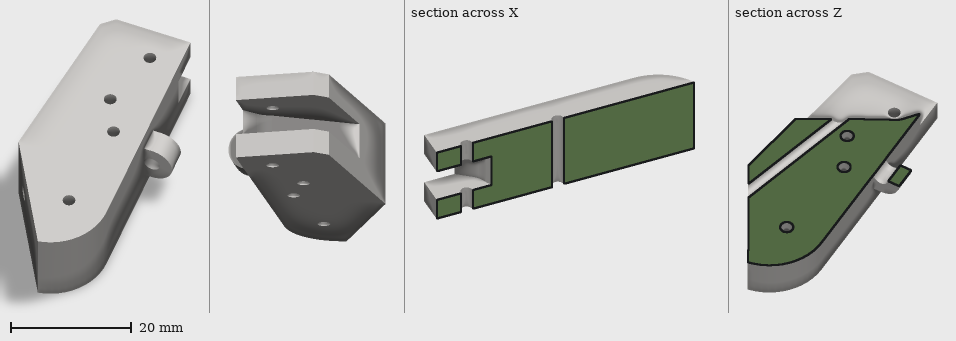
import cadquery as cq
import math

LENGTH = 47.85
THICKNESS = 14.0
HEEL_X, HEEL_Y = -18.95, 18.2
TIP_X = -8.38
CORNER_CUT_TOP_X = -13.2
CORNER_CUT_SIDE_X, CORNER_CUT_SIDE_Y = -15.35, 45.95
NOSE_RADIUS = 10.0

PIN_DIAMETER = 2.1
PIVOT_X, PIVOT_Y = -5.05, 42.4
PIN_CENTERS = [(PIVOT_X, PIVOT_Y), (-8.05, 31.95), (PIVOT_X, 25.9), (-6.7, 9.85)]

SLOT_WIDTH = 5.95
SLOT_START_Y = 30.85
FLOOR_ANGLE = math.radians(30)
PIVOT_CLEARANCE_RADIUS = 4.0
SLOT_OVERRUN = 4.8

CABLE_DIAMETER = 2.0
CABLE_ENTRY_X = -16.2
CABLE_EXIT_Y = 34.6

LUG_REACH = 4.95
LUG_DIAMETER = 7.1
LUG_EYE_DIAMETER = 2.75
LUG_LOWER_Y = 26.9
LUG_WIDTH = 4.05


def point_on_line(start, end, fraction):
    return tuple(a + fraction * (b - a) for a, b in zip(start, end))


heel = (HEEL_X, HEEL_Y)
tip = (TIP_X, 0)
corner_side = (CORNER_CUT_SIDE_X, CORNER_CUT_SIDE_Y)

slot_start = point_on_line(heel, corner_side, (SLOT_START_Y - HEEL_Y) / (CORNER_CUT_SIDE_Y - HEEL_Y))
floor_slope = math.tan(FLOOR_ANGLE)


def make_block():
    nose_center_x = -NOSE_RADIUS
    nose_center_y = math.sqrt(NOSE_RADIUS**2 - (TIP_X - nose_center_x) ** 2)
    middle_angle = math.atan2(-nose_center_y, TIP_X - nose_center_x) / 2
    nose_middle = (
        nose_center_x + NOSE_RADIUS * math.cos(middle_angle),
        nose_center_y + NOSE_RADIUS * math.sin(middle_angle),
    )
    return (
        cq.Workplane("XY")
        .moveTo(0, LENGTH)
        .lineTo(CORNER_CUT_TOP_X, LENGTH)
        .lineTo(*corner_side)
        .lineTo(*heel)
        .lineTo(*tip)
        .threePointArc(nose_middle, (0, nose_center_y))
        .close()
        .extrude(THICKNESS / 2, both=True)
    )


def pivot_arc_point(angle):
    return (
        PIVOT_X + PIVOT_CLEARANCE_RADIUS * math.sin(angle),
        PIVOT_Y - PIVOT_CLEARANCE_RADIUS * math.cos(angle),
    )


def make_slot():
    floor_y_at_pivot = SLOT_START_Y + (PIVOT_X - slot_start[0]) * floor_slope
    floor_distance = (PIVOT_Y - floor_y_at_pivot) * math.cos(FLOOR_ANGLE)
    crease_angle = FLOOR_ANGLE - math.acos(floor_distance / PIVOT_CLEARANCE_RADIUS)
    ramp_angle = math.pi / 2 - math.acos(PIVOT_CLEARANCE_RADIUS / -PIVOT_X)
    ramp_outer = (SLOT_OVERRUN, PIVOT_Y + SLOT_OVERRUN * math.tan(ramp_angle))
    floor_outer = (slot_start[0] - SLOT_OVERRUN, SLOT_START_Y - SLOT_OVERRUN * floor_slope)
    top_y = LENGTH + SLOT_OVERRUN
    return (
        cq.Workplane("XY")
        .moveTo(*floor_outer)
        .lineTo(*pivot_arc_point(crease_angle))
        .threePointArc(pivot_arc_point((crease_angle + ramp_angle) / 2), pivot_arc_point(ramp_angle))
        .lineTo(*ramp_outer)
        .lineTo(SLOT_OVERRUN, top_y)
        .lineTo(floor_outer[0], top_y)
        .close()
        .extrude(SLOT_WIDTH / 2, both=True)
    )


def make_cable_hole():
    entry = point_on_line(heel, tip, (CABLE_ENTRY_X - HEEL_X) / (TIP_X - HEEL_X))
    exit_x = slot_start[0] + (CABLE_EXIT_Y - SLOT_START_Y) / floor_slope
    direction = cq.Vector(exit_x - entry[0], CABLE_EXIT_Y - entry[1], 0)
    overrun = 2 * CABLE_DIAMETER
    start = cq.Vector(*entry, 0) - direction.normalized() * overrun
    length = direction.Length + 2 * overrun
    return cq.Solid.makeCylinder(CABLE_DIAMETER / 2, length, start, direction)


def make_lug():
    eye_x = LUG_REACH - LUG_DIAMETER / 2
    plane = cq.Workplane("XZ", origin=(0, LUG_LOWER_Y, 0))
    shank = plane.center(eye_x / 2, 0).rect(eye_x, LUG_DIAMETER).extrude(-LUG_WIDTH)
    rounded_end = plane.center(eye_x, 0).circle(LUG_DIAMETER / 2).extrude(-LUG_WIDTH)
    outside = cq.Workplane("XY").box(LUG_REACH, LENGTH, THICKNESS, centered=(False, False, True))
    eye = plane.center(eye_x, 0).circle(LUG_EYE_DIAMETER / 2).extrude(-LUG_WIDTH)
    return shank.union(rounded_end.intersect(outside)).cut(eye)


pins = cq.Workplane("XY").pushPoints(PIN_CENTERS).circle(PIN_DIAMETER / 2).extrude(THICKNESS, both=True)

result = make_block().cut(make_slot()).cut(pins).cut(cq.Workplane(make_cable_hole())).union(make_lug())